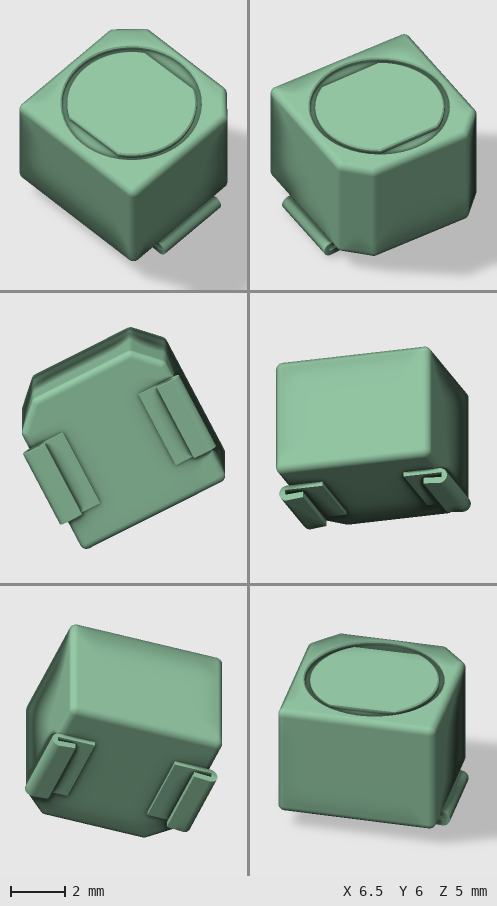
import cadquery as cq

overall_width = 6.5
body_side = 6.0
terminal_height = 0.59
body_height = 4.41
body_top = terminal_height + body_height

corner_cut = 0.975
edge_radius = 0.255

recess_radius = 2.595
recess_depth = 0.2
recess_center_y = 0.03
rim_chamfer = 0.05
floor_fillet = 0.05

core_radius = 2.39
core_flat_distance = 2.05
core_chamfer = 0.05
core_angle = 0.9

terminal_width = 3.0
terminal_center_y = -0.085
strip_thickness = 0.17
strip_length = 1.68
bend_radius = terminal_height / 2
bend_wall = 0.22
foot_length = 0.915
foot_rise = 0.06
foot_thickness = 0.22
foot_root_thickness = 0.235


def make_housing():
    """Rounded block with two cut corners on the +Y side and a round recess."""
    block = (
        cq.Workplane("XY")
        .workplane(offset=terminal_height)
        .rect(body_side, body_side)
        .extrude(body_height)
        .edges("|Z and >Y")
        .chamfer(corner_cut)
        .edges()
        .fillet(edge_radius)
    )
    recess = (
        cq.Workplane("XY", origin=(0, recess_center_y, body_top - recess_depth))
        .circle(recess_radius)
        .extrude(recess_depth)
        .faces("<Z")
        .edges()
        .fillet(floor_fillet)
    )
    rim_cone = (
        cq.Workplane("XY", origin=(0, recess_center_y, body_top))
        .circle(recess_radius + rim_chamfer)
        .workplane(offset=-rim_chamfer)
        .circle(recess_radius)
        .loft()
    )
    return block.cut(recess).cut(rim_cone)


def make_core():
    """Flat-sided disc resting on the recess floor, flush with the housing top."""
    disc = cq.Workplane("XY").circle(core_radius).extrude(recess_depth)
    flats = cq.Workplane("XY").rect(2 * core_radius, 2 * core_flat_distance).extrude(recess_depth)
    core = disc.intersect(flats).faces(">Z").edges().chamfer(core_chamfer)
    return core.rotate((0, 0, 0), (0, 0, 1), core_angle).translate(
        (0, recess_center_y, body_top - recess_depth)
    )


def make_terminal():
    """Strip on the -X side, folded back under itself, with its foot rising toward the tip."""
    outer_x = -overall_width / 2
    bend_x = outer_x + bend_radius
    inner_x = outer_x + bend_wall
    tip_x = outer_x + foot_length
    end_x = outer_x + strip_length
    strip_bottom = terminal_height - strip_thickness
    return (
        cq.Workplane("XZ", origin=(0, terminal_center_y, 0))
        .moveTo(end_x, terminal_height)
        .lineTo(bend_x, terminal_height)
        .threePointArc((outer_x, bend_radius), (bend_x, 0))
        .lineTo(tip_x, foot_rise)
        .lineTo(tip_x, foot_rise + foot_thickness)
        .lineTo(inner_x, foot_root_thickness)
        .lineTo(inner_x, strip_bottom)
        .lineTo(end_x, strip_bottom)
        .close()
        .extrude(terminal_width / 2, both=True)
    )


housing = make_housing()
core = make_core()

terminals = []
for turn in (0, 180):
    terminal = make_terminal().rotate((0, terminal_center_y, 0), (0, terminal_center_y, 1), turn)
    terminals.append(terminal.val())

result = cq.Compound.makeCompound([housing.val(), core.val(), *terminals])